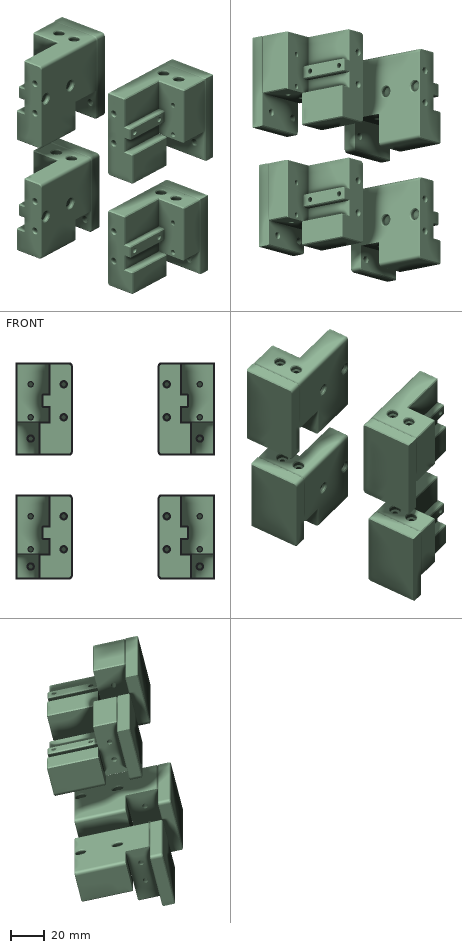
import cadquery as cq


overall_width = 120.0
jaw_width = 34.0
stack_pitch = 80.0
edge_chamfer = 0.6
long_edge_fillet = 2.2

carrier_height = 35.9
foot_top_drop = 36.0
arm_length = 32.0
arm_thickness = 14.0
rail_reach = 4.5
foot_reach = 6.2
rail_height = 8.0
rail_center_drop = 23.0

plate_thickness = 8.0

small_diameter = 3.2
large_diameter = 6.5
hole_chamfer = 0.6
front_hole_xs = (8.75, 28.75)
front_hole_offset = 10.0
front_hole_depth = 8.0
top_hole_xs = (12.5, 24.5)
top_counterbore_depth = 3.0
rail_hole_ys = (4.0, 27.0)
rail_hole_depth = 6.0
side_recess_depth = 2.8
plate_hole_depth = 6.0

arm_x = jaw_width - arm_thickness
rail_x = arm_x - rail_reach
foot_x = arm_x - foot_reach
tolerance = 0.01


def drilled(point, direction, diameter, depth, chamfer=0.0):
    """Cutter for a flat-bottomed hole, with an optional conical lead-in at its mouth."""
    start = cq.Vector(*point)
    axis = cq.Vector(*direction)
    cutter = cq.Workplane(cq.Solid.makeCylinder(diameter / 2, depth, start, axis))
    if chamfer:
        lead_in = cq.Solid.makeCone(diameter / 2 + chamfer, diameter / 2, chamfer, start, axis)
        cutter = cutter.union(cq.Workplane(lead_in))
    return cutter


def box(x_range, y_range, z_range):
    """Box between the given limits."""
    size = [high - low for low, high in (x_range, y_range, z_range)]
    return cq.Workplane().box(*size, centered=False).translate((x_range[0], y_range[0], z_range[0]))


def bracket_body(height, back_y):
    """Carrier block, arm, foot and rail in one solid, with its edges broken."""
    carrier_z = height - carrier_height
    rail_z = height - rail_center_drop
    body = box((arm_x, jaw_width), (0, arm_length), (0, height))
    body = body.union(box((0, jaw_width), (arm_length, back_y), (carrier_z, height)))
    body = body.union(box((foot_x, jaw_width), (0, arm_length), (0, height - foot_top_drop)))
    rail_z_range = (rail_z - rail_height / 2, rail_z + rail_height / 2)
    body = body.union(box((rail_x, jaw_width), (0, arm_length), rail_z_range)).clean()

    long_edges = body.faces(">X").edges("|Y")
    body = long_edges.edges(">Z or <Z").fillet(long_edge_fillet)

    def is_chamfered(edge):
        center = edge.Center()
        limits = edge.BoundingBox()
        along_y = limits.ylen > edge.Length() - tolerance
        if along_y:
            at_top = center.z > height - tolerance
            on_outer_side = center.x < arm_x - tolerance
            on_arm_top = at_top and center.x < arm_x + tolerance
            return on_outer_side or on_arm_top
        at_front = limits.ymax < tolerance
        at_back = limits.ymin > back_y - tolerance
        at_top = limits.zmin > height - tolerance
        at_outer_face = limits.xmax < tolerance
        upright = limits.zlen > edge.Length() - tolerance
        return at_front or at_back or at_top or (at_outer_face and upright)

    chamfered_edges = [edge for edge in body.edges().vals() if is_chamfered(edge)]
    return body.newObject(chamfered_edges).chamfer(edge_chamfer)


def make_bracket(height, back_y):
    """Bracket with its front, top and side holes."""
    rail_z = height - rail_center_drop
    bracket = bracket_body(height, back_y)

    carrier_hole_x, arm_hole_x = front_hole_xs
    for z in (rail_z - front_hole_offset, rail_z + front_hole_offset):
        bracket = bracket.cut(
            drilled((carrier_hole_x, arm_length, z), (0, 1, 0), small_diameter, front_hole_depth))
        bracket = bracket.cut(
            drilled((arm_hole_x, 0, z), (0, 1, 0), small_diameter, front_hole_depth, hole_chamfer))

    carrier_mid_y = (arm_length + back_y) / 2
    for x in top_hole_xs:
        mouth = (x, carrier_mid_y, height)
        bracket = bracket.cut(
            drilled(mouth, (0, 0, -1), large_diameter, top_counterbore_depth, hole_chamfer))
        bracket = bracket.cut(drilled(mouth, (0, 0, -1), small_diameter, carrier_height))

    for y in rail_hole_ys:
        bracket = bracket.cut(
            drilled((rail_x, y, rail_z), (1, 0, 0), small_diameter, rail_hole_depth))
        bracket = bracket.cut(
            drilled((jaw_width, y, rail_z), (-1, 0, 0), large_diameter, side_recess_depth, hole_chamfer))
    return bracket


def make_plate(height, front_y):
    """Back plate with two holes, midway up the part that shows below the carrier."""
    plate = box((0, jaw_width), (front_y, front_y + plate_thickness), (0, height))
    plate = plate.edges("|Y and >X").fillet(long_edge_fillet)
    plate = plate.faces("<Y or >Y").chamfer(edge_chamfer)
    hole_z = (height - carrier_height) / 2
    for x in front_hole_xs:
        plate = plate.cut(
            drilled((x, front_y, hole_z), (0, 1, 0), small_diameter, plate_hole_depth, hole_chamfer))
    return plate


def jaw_pair(body, bottom_z):
    """The body placed on the left, and its mirror image on the right."""
    left = body.translate((-overall_width / 2, 0, bottom_z))
    right = left.mirror("YZ")
    return [left.val(), right.val()]


small_height = 51.0
small_depth = 55.0
large_height = 56.0
large_depth = 60.0
large_bottom_z = small_height + stack_pitch - large_height
jaw_sizes = (
    (small_height, small_depth, 0.0),
    (large_height, large_depth, large_bottom_z),
)

solids = []
for jaw_height, jaw_depth, jaw_z in jaw_sizes:
    joint_y = jaw_depth - plate_thickness
    solids += jaw_pair(make_bracket(jaw_height, joint_y), jaw_z)
    solids += jaw_pair(make_plate(jaw_height, joint_y), jaw_z)

result = cq.Compound.makeCompound(solids)